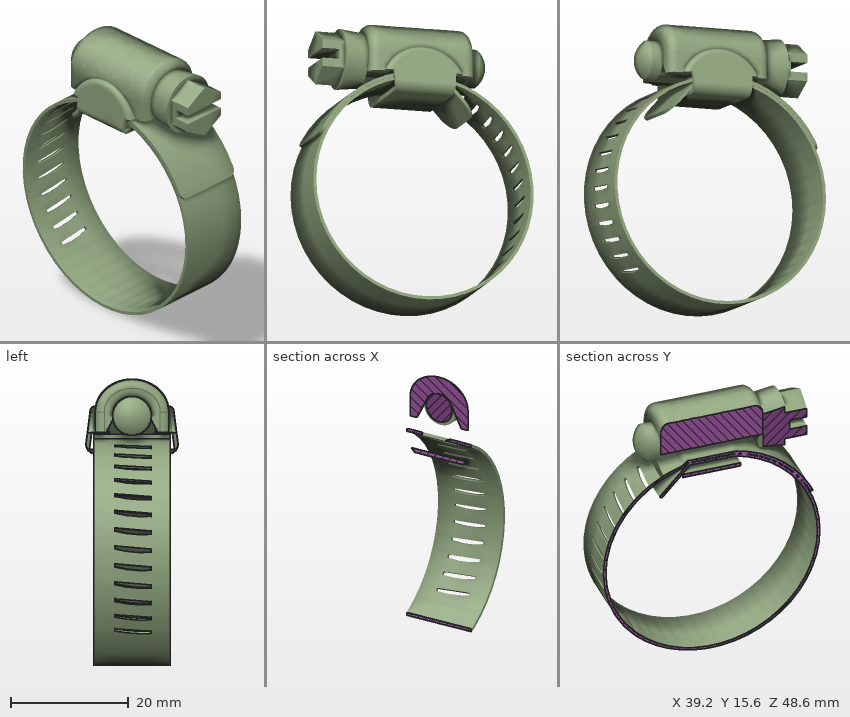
import cadquery as cq
import math


band_radius = 19.6
band_thickness = 0.55
band_width = 13.0
layer_gap = 0.02
outer_end_angle = 24.7
outer_end_corner = 1.35
bridge_start_angle = 77.4
bridge_end_angle = 180 - bridge_start_angle
tongue_setback = 0.1
step_angle = 105.3
tongue_length = 7.8
tongue_slope = 47.4
tongue_corner = 3.2

slot_count = 13
slot_pitch = 9.03
first_slot_angle = 116.2
slot_blunt_end_y = -3.3
slot_narrow_end_y = 2.95
slot_narrow_end_top = 0.5
slot_bow_height = -0.55
slot_blunt_end_top = -0.05
slot_blunt_end_bottom = -0.6

screw_axis_z = 22.75
housing_length = 18.5
housing_half_width = 6.25
shoulder_z = 23.5
housing_top = 29.0
housing_bottom = 19.9
housing_end_fillet = 1.5
tunnel_mouth_half_width = 4.4

boss_radius = 7.55
boss_centre_z = 16.88
boss_fillet = 0.9
strap_bottom = 16.35
strap_thickness = 0.74
strap_half_width = 7.83
strap_lean = 7.2
strap_bend_radius = 1.6
strap_half_length_top = 5.5
strap_half_length_bottom = 5.25

journal_radius = 3.3
journal_end_x = -11.17
tip_x = -12.8
core_radius = 2.6
collar_start_radius = 4.74
collar_end_radius = 5.2
collar_end_x = 13.28
hex_across_flats = 8.0
hex_end_x = 17.22
drive_slot_width = 1.7
drive_slot_depth = 3.05


def polar(radius, angle):
    """Point in the XZ plane at an angle in degrees from +X towards +Z."""
    turn = math.radians(angle)
    return (radius * math.cos(turn), radius * math.sin(turn))


def make_slot_cutter():
    """Slot with one straight and one bowed side, cut through the band's -X side."""
    outline = (
        cq.Workplane("YZ")
        .moveTo(slot_narrow_end_y, slot_narrow_end_top)
        .lineTo(slot_blunt_end_y, slot_blunt_end_top)
        .lineTo(slot_blunt_end_y, slot_blunt_end_bottom)
        .threePointArc((0, slot_bow_height), (slot_narrow_end_y, 0))
        .close()
    )
    return outline.extrude(4 * band_thickness).translate((-band_radius - 2 * band_thickness, 0, 0))


def make_band():
    """One strip: outer layer, step down to the ring, once round, and a tongue under the start."""
    ring_in = band_radius - band_thickness
    outer_in = band_radius + layer_gap
    outer_out = outer_in + band_thickness
    inner_turn_end = 360 + bridge_start_angle
    outer_arc_middle = (outer_end_angle + bridge_start_angle) / 2
    ring_middle = (step_angle + inner_turn_end) / 2

    slope = math.radians(tongue_slope)
    tongue_along = (-math.cos(slope), -math.sin(slope))
    tongue_across = (math.sin(slope), -math.cos(slope))
    bridge_end_x, bend_z = polar(band_radius, bridge_end_angle)
    bend_x = bridge_end_x + tongue_setback
    tip_top = (bend_x + tongue_length * tongue_along[0], bend_z + tongue_length * tongue_along[1])
    tip_bottom = (
        tip_top[0] + band_thickness * tongue_across[0],
        tip_top[1] + band_thickness * tongue_across[1],
    )
    tip_middle = ((tip_top[0] + tip_bottom[0]) / 2, (tip_top[1] + tip_bottom[1]) / 2)
    half_bend = math.tan(slope / 2)
    bend_under = (bend_x + band_thickness * half_bend, bend_z - band_thickness)

    strip = (
        cq.Workplane("XZ")
        .moveTo(*polar(outer_out, outer_end_angle))
        .threePointArc(polar(outer_out, outer_arc_middle), polar(outer_out, bridge_start_angle))
        .lineTo(*polar(outer_out, bridge_end_angle))
        .lineTo(*polar(band_radius, step_angle))
        .threePointArc(polar(band_radius, ring_middle), polar(band_radius, inner_turn_end))
        .lineTo(bend_x, bend_z)
        .lineTo(*tip_top)
        .lineTo(*tip_bottom)
        .lineTo(*bend_under)
        .lineTo(*polar(ring_in, inner_turn_end))
        .threePointArc(polar(ring_in, ring_middle), polar(ring_in, step_angle))
        .lineTo(*polar(outer_in, bridge_end_angle))
        .lineTo(*polar(outer_in, bridge_start_angle))
        .threePointArc(polar(outer_in, outer_arc_middle), polar(outer_in, outer_end_angle))
        .close()
        .extrude(band_width / 2, both=True)
    )

    end_middle = polar((outer_in + outer_out) / 2, outer_end_angle)
    for (x, z), corner_radius in ((end_middle, outer_end_corner), (tip_middle, tongue_corner)):
        for y in (-band_width / 2, band_width / 2):
            corner = strip.edges(cq.NearestToPointSelector((x, y, z)))
            strip = corner.fillet(corner_radius)

    slot_cutter = make_slot_cutter()
    for index in range(slot_count):
        angle = first_slot_angle + index * slot_pitch
        strip = strip.cut(slot_cutter.rotate((0, 0, 0), (0, 1, 0), 180 - angle))
    return strip


def strap_side(z, inset=0.0):
    """Half-width of the leaning sides at a height, measured inside an inset."""
    lean = math.tan(math.radians(strap_lean))
    widest_z = strap_bottom + strap_bend_radius
    return strap_half_width - inset - (z - widest_z) * lean


def leaning_block(bottom, top, inset, length):
    """Block along X with a trapezoid section that follows the leaning sides."""
    section = [
        (-strap_side(bottom, inset), bottom),
        (strap_side(bottom, inset), bottom),
        (strap_side(top, inset), top),
        (-strap_side(top, inset), top),
    ]
    return cq.Workplane("YZ").polyline(section).close().extrude(length / 2, both=True)


def make_shell():
    """Round-topped body of the housing with rounded ends."""
    shell = (
        cq.Workplane("YZ", origin=(-housing_length / 2, 0, 0))
        .moveTo(-housing_half_width, housing_bottom)
        .lineTo(housing_half_width, housing_bottom)
        .lineTo(housing_half_width, shoulder_z)
        .ellipseArc(housing_half_width, housing_top - shoulder_z, 0, 180, startAtCurrent=True)
        .close()
        .extrude(housing_length)
    )
    for end in ("<X", ">X"):
        shell = shell.faces(end).edges("not <Z").fillet(housing_end_fillet)
    return shell


def make_bosses():
    """Disc segment across the housing that stands out as a rounded boss on each side."""
    block_top = boss_centre_z + boss_radius + boss_fillet
    disc = (
        cq.Workplane("XZ")
        .center(0, boss_centre_z)
        .circle(boss_radius)
        .extrude(2 * strap_half_width, both=True)
    )
    bosses = leaning_block(housing_bottom, block_top, 0, 3 * boss_radius).intersect(disc)
    outer_arcs = bosses.faces("<Y or >Y").edges("not <Z")
    return outer_arcs.fillet(boss_fillet)


def make_strap():
    """Flat loop that hangs from the bosses and passes under the band."""
    length = 2 * strap_half_length_top
    loop = leaning_block(strap_bottom, housing_bottom, 0, length)
    loop = loop.faces("<Z").edges("|X").fillet(strap_bend_radius)
    opening = leaning_block(strap_bottom + strap_thickness, housing_bottom, strap_thickness, length)
    taper = (
        cq.Workplane("XZ")
        .polyline([
            (-strap_half_length_bottom, strap_bottom),
            (strap_half_length_bottom, strap_bottom),
            (strap_half_length_top, housing_bottom),
            (-strap_half_length_top, housing_bottom),
        ])
        .close()
        .extrude(2 * strap_half_width, both=True)
    )
    return loop.cut(opening).intersect(taper)


def make_tunnel():
    """Screw passage: a bore with a flared mouth open to the band."""
    bore = cq.Workplane("YZ").center(0, screw_axis_z).circle(core_radius)
    bore = bore.extrude(housing_length / 2, both=True)
    drop = screw_axis_z - housing_bottom
    mouth_angle = math.atan2(-drop, tunnel_mouth_half_width)
    reach = math.hypot(drop, tunnel_mouth_half_width)
    touch_angle = mouth_angle + math.acos(core_radius / reach)
    touch_y = core_radius * math.cos(touch_angle)
    touch_z = screw_axis_z + core_radius * math.sin(touch_angle)
    mouth = (
        cq.Workplane("YZ")
        .polyline([
            (-tunnel_mouth_half_width, housing_bottom),
            (tunnel_mouth_half_width, housing_bottom),
            (touch_y, touch_z),
            (-touch_y, touch_z),
        ])
        .close()
        .extrude(housing_length / 2, both=True)
    )
    return bore.union(mouth)


def make_housing():
    return make_shell().union(make_bosses()).union(make_strap()).cut(make_tunnel())


def make_screw():
    """Domed journal, core and tapered collar turned about the X axis, with a slotted hex head."""
    dome_depth = journal_end_x - tip_x
    dome_radius = (journal_radius**2 + dome_depth**2) / (2 * dome_depth)
    dome_middle = math.asin(journal_radius / dome_radius) / 2
    dome_middle_point = (
        tip_x + dome_radius * (1 - math.cos(dome_middle)),
        dome_radius * math.sin(dome_middle),
    )
    collar_start_x = housing_length / 2
    turned = (
        cq.Workplane("XY")
        .moveTo(tip_x, 0)
        .threePointArc(dome_middle_point, (journal_end_x, journal_radius))
        .lineTo(-collar_start_x, journal_radius)
        .lineTo(-collar_start_x, core_radius)
        .lineTo(collar_start_x, core_radius)
        .lineTo(collar_start_x, collar_start_radius)
        .lineTo(collar_end_x, collar_end_radius)
        .lineTo(collar_end_x, 0)
        .close()
        .revolve(360, (0, 0, 0), (1, 0, 0))
    )
    hex_corner_diameter = hex_across_flats / math.cos(math.radians(30))
    head = (
        cq.Workplane("YZ", origin=(collar_end_x, 0, 0))
        .transformed(rotate=(0, 0, 90))
        .polygon(6, hex_corner_diameter)
        .extrude(hex_end_x - collar_end_x)
    )
    drive_slot = cq.Workplane("XY").box(2 * drive_slot_depth, 2 * hex_across_flats, drive_slot_width)
    screw = turned.union(head).cut(drive_slot.translate((hex_end_x, 0, 0)))
    return screw.translate((0, 0, screw_axis_z))


band = make_band()
housing = make_housing()
screw = make_screw()

result = cq.Compound.makeCompound([band.val(), housing.val(), screw.val()])